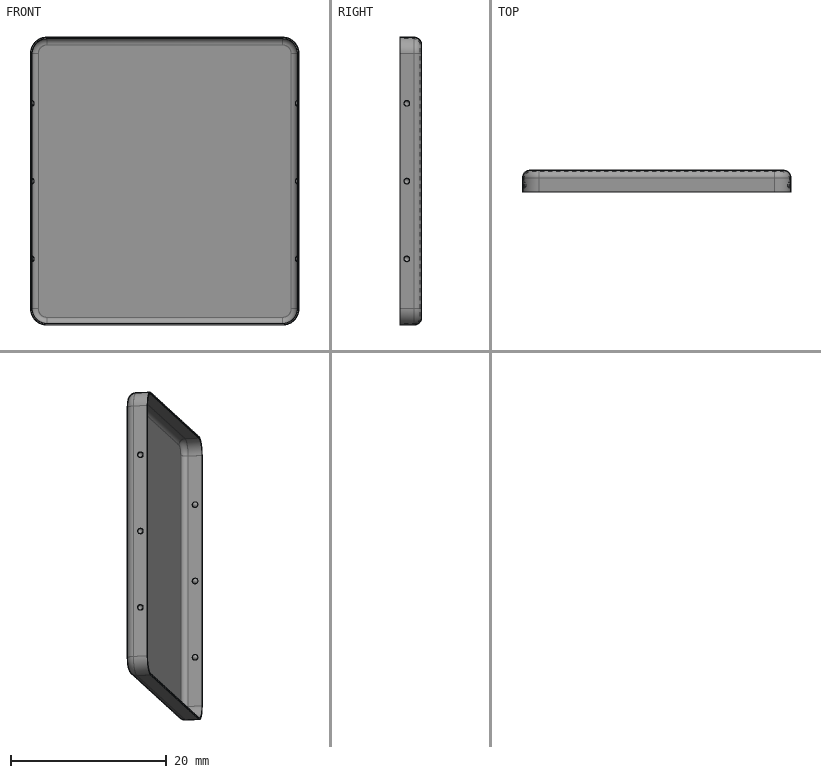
import cadquery as cq

width = 34.5
depth = 2.8
height = 37.0
wall = 0.2
corner_radius = 2.1
back_radius = 1.0

dimple_pitch = 10.0
dimple_y = -back_radius / 2
dent_radius = 0.35
bump_radius = 0.37
dent_depth = 0.25
bump_height = 0.25


def rounded_block(inset):
    """Block with rounded corners and a rounded back edge, inset from the outer skin."""
    block = (
        cq.Workplane("XZ", origin=(0, -depth / 2, 0))
        .rect(width - 2 * inset, height - 2 * inset)
        .extrude(-(depth - inset))
    )
    block = block.edges("|Y").fillet(corner_radius - inset)
    return block.faces(">Y").edges().fillet(back_radius - inset)


def spherical_cap(base_x, side, z, base_radius, rise):
    """Cap standing on the plane x = base_x, bulging toward the middle of the tray."""
    sphere_radius = (base_radius**2 + rise**2) / (2 * rise)
    center_x = base_x + side * (sphere_radius - rise)
    ball = cq.Workplane("XY").sphere(sphere_radius).rotate((0, 0, 0), (0, 1, 0), 90)
    ball = ball.translate((center_x, dimple_y, z))
    keep_size = 2 * sphere_radius
    keep = cq.Workplane("XY").box(keep_size, keep_size, keep_size)
    return ball.intersect(keep.translate((base_x - side * keep_size / 2, dimple_y, z)))


result = rounded_block(0).cut(rounded_block(wall))

for side in (-1, 1):
    outer_x = side * width / 2
    inner_x = outer_x - side * wall
    for z in (-dimple_pitch, 0, dimple_pitch):
        result = result.union(spherical_cap(inner_x, side, z, bump_radius, bump_height))
        result = result.cut(spherical_cap(outer_x, side, z, dent_radius, dent_depth))